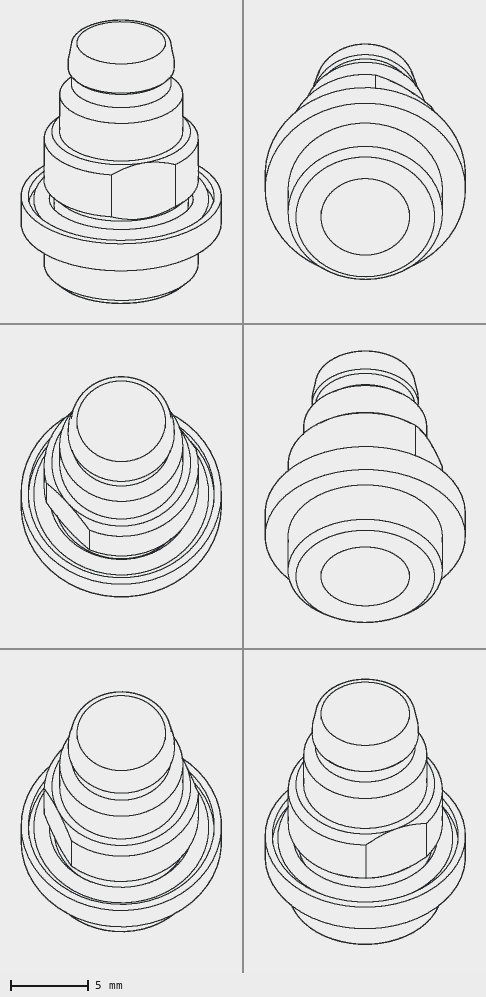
import cadquery as cq

total_height = 16.8
bore_radius = 2.87

shoulder_z = 3.5
collar_bottom_z = 6.0
collar_top_z = 10.25
cone_bottom_z = 13.02
barb_neck_z = 13.78
barb_bottom_z = 14.75
barb_edge_height = 0.2
barb_taper_z = 15.5

base_radius = 5.0
neck_radius = 4.35
sleeve_radius = 4.0
barb_neck_radius = 3.25
barb_radius = barb_neck_radius + barb_edge_height
edge_chamfer = 0.5
lip_round = 0.17

flat_distance = 4.5
flats_turn = -1.4

flange_radius = 6.5
flange_height = 2.0
flange_top_z = shoulder_z + flange_height
recess_radius = 6.03
recess_depth = 0.74
recess_floor_z = flange_top_z - recess_depth

seal_section_radius = 0.5
seal_mean_radius = 5.17


def make_body():
    """Revolved hollow coupling with a barbed tip and two wrench flats."""
    collar_undercut = base_radius - neck_radius
    profile = (
        cq.Workplane("XZ")
        .moveTo(bore_radius, 0)
        .lineTo(base_radius - edge_chamfer, 0)
        .lineTo(base_radius, edge_chamfer)
        .lineTo(base_radius, shoulder_z)
        .lineTo(neck_radius, shoulder_z)
        .lineTo(neck_radius, collar_bottom_z)
        .lineTo(base_radius, collar_bottom_z + collar_undercut)
        .lineTo(base_radius, collar_top_z - edge_chamfer)
        .lineTo(base_radius - edge_chamfer, collar_top_z)
        .lineTo(sleeve_radius, collar_top_z)
        .lineTo(sleeve_radius, cone_bottom_z)
        .lineTo(barb_neck_radius, barb_neck_z)
        .lineTo(barb_neck_radius, barb_bottom_z)
        .lineTo(barb_radius, barb_bottom_z + barb_edge_height)
        .lineTo(barb_radius, barb_taper_z)
        .lineTo(barb_neck_radius, total_height - lip_round)
        .radiusArc((barb_neck_radius - lip_round, total_height), -lip_round)
        .lineTo(bore_radius, total_height)
        .close()
    )
    body = profile.revolve(360, (0, 0, 0), (0, 1, 0))
    return body.cut(make_flat_cutters())


def make_flat_cutters():
    """Two blocks that remove the collar material outside the flats."""
    collar_height = collar_top_z - collar_bottom_z
    block_depth = base_radius
    block_center = flat_distance + block_depth / 2
    return (
        cq.Workplane("XY", origin=(0, 0, collar_bottom_z))
        .pushPoints([(-block_center, 0), (block_center, 0)])
        .rect(block_depth, 2 * base_radius)
        .extrude(collar_height)
        .rotate((0, 0, 0), (0, 0, 1), flats_turn)
    )


def make_flange():
    """Ring around the neck, seated on the shoulder, recessed on top."""
    ring = (
        cq.Workplane("XY", origin=(0, 0, shoulder_z))
        .circle(flange_radius)
        .circle(neck_radius)
        .extrude(flange_height)
    )
    recess = (
        cq.Workplane("XY", origin=(0, 0, recess_floor_z))
        .circle(recess_radius)
        .extrude(recess_depth)
    )
    return ring.cut(recess)


def make_seal():
    """Round-section ring lying on the recess floor."""
    return (
        cq.Workplane("XZ")
        .center(seal_mean_radius, recess_floor_z + seal_section_radius)
        .circle(seal_section_radius)
        .revolve(360, (-seal_mean_radius, 0, 0), (-seal_mean_radius, 1, 0))
    )


body = make_body()
flange = make_flange()
seal = make_seal()

result = cq.Compound.makeCompound([body.val(), flange.val(), seal.val()])